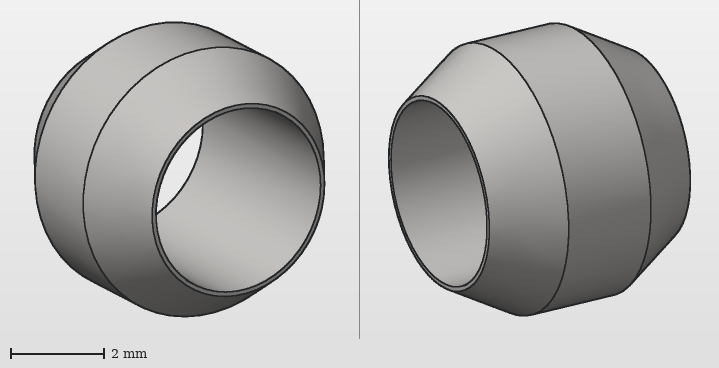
import cadquery as cq
import math

length = 5.0
outer_diameter = 6.0
bore_diameter = 4.1
end_diameter = 4.295
cone_angle = 30.0

outer_radius = outer_diameter / 2
bore_radius = bore_diameter / 2
end_radius = end_diameter / 2
half_length = length / 2
cone_length = (outer_radius - end_radius) / math.tan(math.radians(cone_angle))
half_band = half_length - cone_length

section = (
    cq.Workplane("XY")
    .moveTo(-half_length, bore_radius)
    .lineTo(-half_length, end_radius)
    .lineTo(-half_band, outer_radius)
    .lineTo(half_band, outer_radius)
    .lineTo(half_length, end_radius)
    .lineTo(half_length, bore_radius)
    .close()
)

result = section.revolve(360, (0, 0, 0), (1, 0, 0))